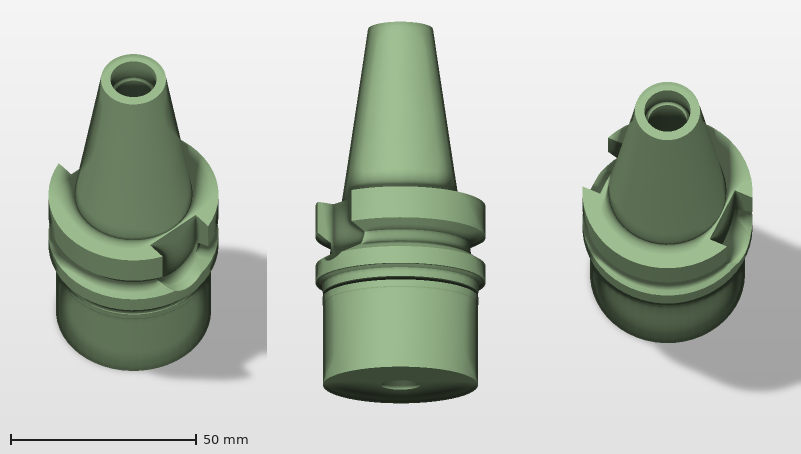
import cadquery as cq

total_height = 98.9
gauge_face_z = 49.6
taper_foot_z = 50.5
upper_collar_bottom_z = 41.0
gripper_groove_top_z = 38.7
gripper_groove_bottom_z = 35.5
lower_collar_top_z = 33.0
lower_collar_bottom_z = 28.4
spigot_top_z = 27.6
spigot_bottom_z = 25.2
nut_height = 24.2
nut_band_z = 22.45
nut_band_chamfer_z = 22.2

collar_radius = 46.0 / 2
taper_tip_radius = 8.8
taper_foot_radius = 15.9
gripper_groove_radius = 19.0
collar_shoulder_radius = 22.3
spigot_top_radius = 21.3
nut_radius = 21.0
nut_band_radius = 21.1
neck_radius = 16.3
bore_radius = 5.2
counterbore_radius = 6.2
counterbore_depth = 6.9

slot_width = 16.2
slot_floor_x = 16.3
slot_bottom_z = 31.5


def revolve_about_z(outline):
    """Turn a closed outline of (radius, height) points about the Z axis."""
    return cq.Workplane("XZ").polyline(outline).close().revolve(360, (0, 0), (0, 1))


def make_drive_slot(side):
    """Round-bottomed cutter for the slot on the -X (-1) or +X (+1) side."""
    half_width = slot_width / 2
    arc_center_z = slot_bottom_z + half_width
    slot_depth = collar_radius - slot_floor_x
    return (
        cq.Workplane("YZ", origin=(side * slot_floor_x, 0, 0))
        .moveTo(-half_width, gauge_face_z)
        .lineTo(-half_width, arc_center_z)
        .threePointArc((0, slot_bottom_z), (half_width, arc_center_z))
        .lineTo(half_width, gauge_face_z)
        .close()
        .extrude(side * slot_depth)
    )


def make_holder():
    """Taper shank with its grooved collar, ending in the neck that meets the nut."""
    holder = revolve_about_z([
        (bore_radius, nut_height),
        (neck_radius, nut_height),
        (neck_radius, spigot_bottom_z),
        (nut_radius, spigot_bottom_z),
        (spigot_top_radius, spigot_top_z),
        (collar_shoulder_radius, lower_collar_bottom_z),
        (collar_radius, lower_collar_bottom_z),
        (collar_radius, lower_collar_top_z),
        (gripper_groove_radius, gripper_groove_bottom_z),
        (gripper_groove_radius, gripper_groove_top_z),
        (collar_radius, upper_collar_bottom_z),
        (collar_radius, gauge_face_z),
        (taper_foot_radius, gauge_face_z),
        (taper_foot_radius, taper_foot_z),
        (taper_tip_radius, total_height),
        (counterbore_radius, total_height),
        (counterbore_radius, total_height - counterbore_depth),
        (bore_radius, total_height - counterbore_depth),
    ])
    for side in (-1, 1):
        holder = holder.cut(make_drive_slot(side))
    return holder


def make_nut():
    """Clamping nut with a slightly larger, chamfered band at its top and the bore through it."""
    return revolve_about_z([
        (bore_radius, 0),
        (nut_radius, 0),
        (nut_radius, nut_band_chamfer_z),
        (nut_band_radius, nut_band_z),
        (nut_band_radius, nut_height),
        (bore_radius, nut_height),
    ])


holder = make_holder()
nut = make_nut()
result = cq.Compound.makeCompound([holder.val(), nut.val()])